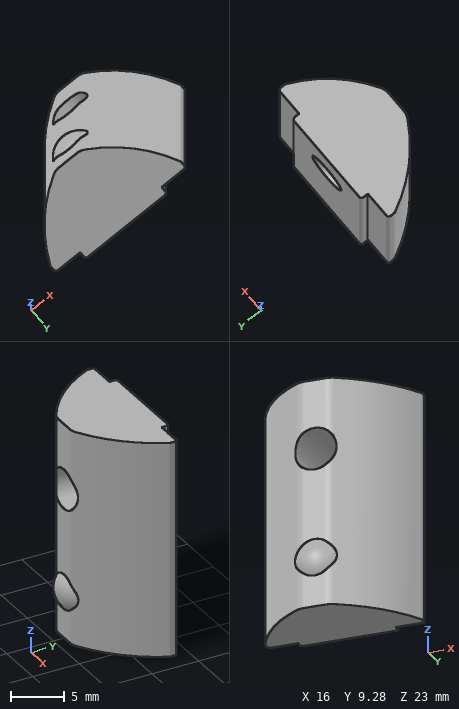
import cadquery as cq

length = 23.0
width = 16.0
body_depth = 8.5

tongue_width = 10.0
tongue_height = 0.8
tongue_edge_radius = 0.3

shoulder_edge_radius = 0.3
flank_end_depth = 1.59
flank_edge_radius = 0.2
flank_radius = 14.95
nose_corner_width = 3.04
nose_radius = 1.68

hole_diameter = 4.2
hole_height = 16.0
ball_radius = 2.58
ball_height = 5.0
ball_protrusion = 0.78


def round_edges(solid, half_x, y, radius):
    """Round the mirrored pair of lengthwise edges at X = +/- half_x."""
    tolerance = 0.012
    for x in (-half_x, half_x):
        selector = cq.selectors.BoxSelector(
            (x - tolerance, y - tolerance, -tolerance),
            (x + tolerance, y + tolerance, length + tolerance),
            boundingbox=True,
        )
        solid = solid.edges(selector).fillet(radius)
    return solid


def make_body():
    half_width = width / 2
    half_tongue = tongue_width / 2
    half_nose = nose_corner_width / 2
    body = (
        cq.Workplane("XY")
        .moveTo(-half_tongue, 0)
        .lineTo(half_tongue, 0)
        .lineTo(half_tongue, -tongue_height)
        .lineTo(half_width, -tongue_height)
        .lineTo(half_width, -flank_end_depth)
        .radiusArc((half_nose, -body_depth), flank_radius)
        .lineTo(-half_nose, -body_depth)
        .radiusArc((-half_width, -flank_end_depth), flank_radius)
        .lineTo(-half_width, -tongue_height)
        .lineTo(-half_tongue, -tongue_height)
        .close()
        .extrude(length)
    )
    body = round_edges(body, half_tongue, 0, tongue_edge_radius)
    body = round_edges(body, half_width, -tongue_height, shoulder_edge_radius)
    body = round_edges(body, half_width, -flank_end_depth, flank_edge_radius)
    return round_edges(body, half_nose, -body_depth, nose_radius)


def make_hole():
    return (
        cq.Workplane("XZ", origin=(0, 0, hole_height))
        .circle(hole_diameter / 2)
        .extrude(body_depth)
    )


def make_ball():
    ball_y = ball_radius - body_depth - ball_protrusion
    return cq.Workplane("XY").sphere(ball_radius).translate((0, ball_y, ball_height))


result = make_body().cut(make_hole()).union(make_ball())